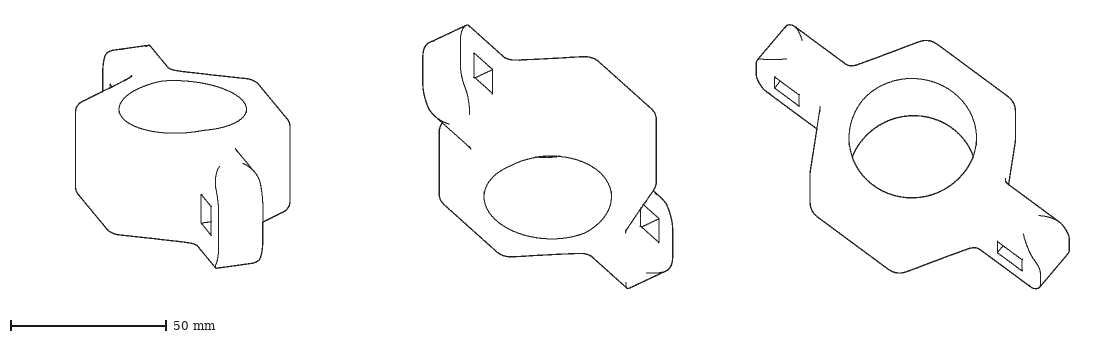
import cadquery as cq
import math

length = 116.8
width = 62.6
height = 36.1

arm_thickness = 15.1
corner_radius = 6.0
root_radius = 3.0

slope = math.radians(3.7)

wall_half_height = 13.3

bore_diameter = 41.1

end_radius = 12.5
bolt_hole_side = 10.2
bolt_hole_x = 45.8

half_length = length / 2
half_width = width / 2
half_height = height / 2
half_arm = arm_thickness / 2
hexagon_corner_x = half_width * math.tan(math.radians(30))
hexagon_tip_x = 2 * hexagon_corner_x
arm_root_x = hexagon_tip_x - half_arm * math.tan(math.radians(30))


def top_height(distance):
    """Height of the sloped top face at this distance from the ridge."""
    return half_height - distance * math.tan(slope)


def rim_radius(distance):
    """Rim rounding that meets a wall, this far from the ridge, at wall_half_height."""
    return (top_height(distance) - wall_half_height) / math.tan(math.pi / 4 - slope / 2)


def vertical_edge_at(x, y):
    """Selector for the upright edge through this point of the outline."""
    return cq.selectors.NearestToPointSelector((x, y, half_height / 2))


def make_octant():
    """The +X +Y +Z eighth of the body, with a sloped top and a sharp rim."""
    prism = (
        cq.Workplane("XY")
        .polyline(
            [
                (0, 0),
                (half_length, 0),
                (half_length, half_arm),
                (arm_root_x, half_arm),
                (hexagon_corner_x, half_width),
                (0, half_width),
            ]
        )
        .close()
        .extrude(half_height)
    )
    corner = vertical_edge_at(hexagon_corner_x, half_width)
    prism = prism.edges("|Z").edges(corner).fillet(corner_radius)
    root = vertical_edge_at(arm_root_x, half_arm)
    prism = prism.edges("|Z").edges(root).fillet(root_radius)

    under_slope = (
        cq.Workplane("YZ")
        .polyline([(0, 0), (half_width, 0), (half_width, top_height(half_width)), (0, half_height)])
        .close()
        .extrude(half_length)
    )
    return prism.intersect(under_slope)


def round_rim(octant):
    """Round the top rim with a radius that grows linearly towards the arm."""
    rounding = cq.occ_impl.shapes.BRepFilletAPI_MakeFillet(octant.val().wrapped)
    rim = octant.faces(">Z").edges("not (<X or >X or <Y)")
    rim = rim.sort(lambda edge: edge.Center().x)
    for edge in rim.vals():
        start_radius = rim_radius(edge.startPoint().y)
        finish_radius = rim_radius(edge.endPoint().y)
        rounding.Add(start_radius, finish_radius, edge.wrapped)
    return cq.Workplane(cq.Shape.cast(rounding.Shape()))


def mirror_to_full_body(octant):
    """Mirror the eighth across the three coordinate planes."""
    body = octant
    for plane in ("XY", "XZ", "YZ"):
        body = body.union(body.mirror(plane))
    return body.clean()


def make_end_profile():
    """Block with rounded corners, seen along Y, that trims the arm ends."""
    return cq.Workplane("XY").box(length, width, height).edges("|Y").fillet(end_radius)


def make_bore():
    """Round through hole along Z."""
    return cq.Workplane("XY").circle(bore_diameter / 2).extrude(height, both=True)


def make_bolt_holes():
    """Square through holes along Y, one in each arm."""
    return (
        cq.Workplane("XZ")
        .pushPoints([(-bolt_hole_x, 0), (bolt_hole_x, 0)])
        .rect(bolt_hole_side, bolt_hole_side)
        .extrude(arm_thickness, both=True)
    )


body = mirror_to_full_body(round_rim(make_octant()))
body = body.intersect(make_end_profile())
result = body.cut(make_bore()).cut(make_bolt_holes()).solids()